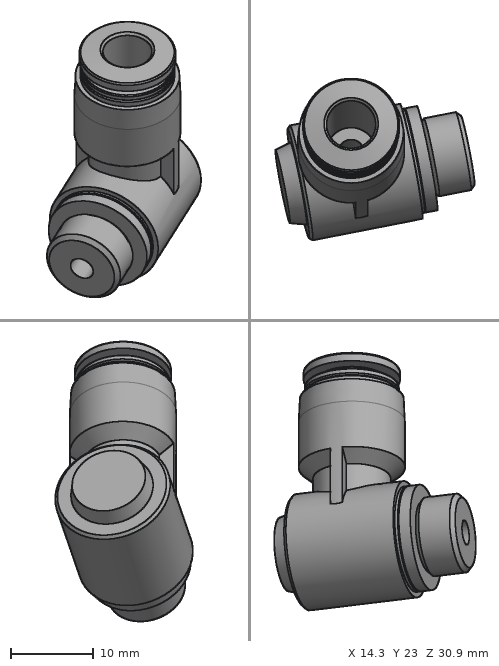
import cadquery as cq


body_radius = 7.15
body_front = -7.47
body_back = 6.57
body_chamfer = 0.37
flange_radius = 13.0 / 2
flange_front = -9.45
seal_groove_y = -7.9
seal_groove_width = 0.12
seal_groove_depth = 0.1
stud_radius = 9.72 / 2
stud_front = -14.5
stud_chamfer = 0.55
cap_back = 8.5
cap_base_radius = 5.12
cap_tip_radius = 4.57

neck_radius = 4.75
cone_bottom = 8.95
cone_top = 10.45
socket_radius = 13.0 / 2
barrel_bottom = 16.5
barrel_top = 19.5
barrel_top_radius = 6.35
collar_radius = 11.5 / 2
collar_top = 21.22
collar_edge = 0.15
collar_groove_z = 20.35
collar_groove_half = 0.2
sleeve_radius = 8.1 / 2
sleeve_flare = 0.05
sleeve_flare_height = 0.2

button_radius = 5.9
button_bottom = 22.1
button_rim = 23.05
button_bevel_top = 23.25
button_bevel = 0.2
button_top = 30.85 - body_radius

passage_radius = 3.0 / 2
tube_radius = 3.0
tube_lead_in = 0.3
tube_floor = cone_top
rib_width = 1.5


def banjo_body():
    """Revolve the body, sealing flange, stud and rear cap about Y."""
    groove_radius = flange_radius - seal_groove_depth
    groove_back = seal_groove_y + seal_groove_width / 2
    groove_front = seal_groove_y - seal_groove_width / 2
    stud_end_radius = stud_radius - stud_chamfer
    profile = [
        (0, stud_front),
        (stud_end_radius, stud_front),
        (stud_radius, stud_front + stud_chamfer),
        (stud_radius, flange_front - stud_chamfer),
        (stud_end_radius, flange_front),
        (flange_radius, flange_front),
        (flange_radius, groove_front),
        (groove_radius, groove_front),
        (groove_radius, groove_back),
        (flange_radius, groove_back),
        (flange_radius, body_front),
        (body_radius, body_front),
        (body_radius, body_back - body_chamfer),
        (body_radius - body_chamfer, body_back),
        (cap_base_radius, body_back),
        (cap_tip_radius, cap_back),
        (0, cap_back),
    ]
    return cq.Workplane("XY").polyline(profile).close().revolve(360, (0, 0, 0), (0, 1, 0))


def tube_socket():
    """Revolve the neck, socket, collar and release button about Z."""
    return (
        cq.Workplane("XZ")
        .moveTo(0, 0)
        .lineTo(neck_radius, 0)
        .lineTo(neck_radius, cone_bottom)
        .lineTo(socket_radius, cone_top)
        .lineTo(socket_radius, barrel_bottom)
        .lineTo(barrel_top_radius, barrel_top)
        .lineTo(collar_radius, barrel_top)
        .lineTo(collar_radius, collar_groove_z - collar_groove_half)
        .lineTo(collar_radius - collar_groove_half, collar_groove_z)
        .lineTo(collar_radius, collar_groove_z + collar_groove_half)
        .lineTo(collar_radius, collar_top - collar_edge)
        .lineTo(collar_radius - collar_edge, collar_top)
        .lineTo(sleeve_radius, collar_top)
        .lineTo(sleeve_radius, button_bottom - sleeve_flare_height)
        .lineTo(sleeve_radius + sleeve_flare, button_bottom)
        .lineTo(button_radius, button_bottom)
        .lineTo(button_radius, button_rim)
        .lineTo(button_radius - button_bevel, button_bevel_top)
        .lineTo(tube_radius + tube_lead_in, button_top)
        .lineTo(0, button_top)
        .close()
        .revolve(360, (0, 0, 0), (0, 1, 0))
    )


def side_ribs():
    """Flat web under the socket, its outer edges rounded flush with the socket wall."""
    web = cq.Workplane("XY").box(2 * socket_radius, rib_width, cone_top, centered=(True, True, False))
    socket_outline = cq.Workplane("XY").circle(socket_radius).extrude(cone_top)
    return web.intersect(socket_outline)


def tube_bore():
    """Socket for the tube, with a chamfered mouth."""
    return (
        cq.Workplane("XZ")
        .moveTo(0, tube_floor)
        .lineTo(tube_radius, tube_floor)
        .lineTo(tube_radius, button_top - tube_lead_in)
        .lineTo(tube_radius + tube_lead_in, button_top)
        .lineTo(0, button_top)
        .close()
        .revolve(360, (0, 0, 0), (0, 1, 0))
    )


def flow_passage():
    """Right-angle passage from the stud to the tube, rounded by a ball at the bend."""
    stud_leg = cq.Workplane("XZ").circle(passage_radius).extrude(-stud_front)
    socket_leg = cq.Workplane("XY").circle(passage_radius).extrude(tube_floor)
    bend = cq.Workplane("XY").sphere(passage_radius)
    return stud_leg.union(socket_leg).union(bend)


result = (
    banjo_body()
    .union(tube_socket())
    .union(side_ribs())
    .cut(tube_bore())
    .cut(flow_passage())
)